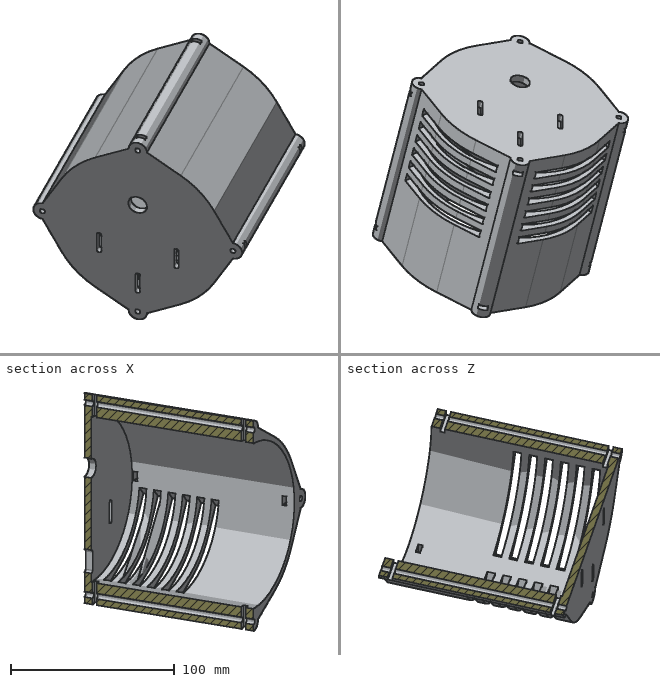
import cadquery as cq
import math

outer_width = 135.0
depth = 117.0
front_y = -depth / 2
back_y = depth / 2

lug_radius = 6.0
lug_offset = outer_width / 2 - lug_radius
lug_angles = (0, 90, 180, 270)
screw_hole_diameter = 3.2

shell_radius = 56.5
cavity_radius = 53.0
front_thickness = 4.9

nut_width = 6.0
nut_thickness = 2.8
nut_inset = 7.0

cable_hole_diameter = 12.0
cable_hole_height = 20.0
slot_length = 14.7
slot_width = 3.0
slot_circle_radius = 25.0
slot_circle_height = -15.0

vent_count = 6
vent_width = 5.0
vent_pitch = 2 * vent_width
vent_length = 65.1
first_vent_inset = 10.0
vent_tilts = (45, 135)


def polar_point(radius, angle):
    """XZ point at a radius and an angle in degrees from the X axis."""
    return radius * math.cos(math.radians(angle)), radius * math.sin(math.radians(angle))


lug_places = [polar_point(lug_offset, angle) for angle in lug_angles]


def front_plane(y):
    """XZ workplane at the given Y; a negative extrusion goes toward the back (+Y)."""
    return cq.Workplane("XZ", origin=(0, y, 0))


def make_body():
    """Solid round housing, drawn out by tangent flats to the flanks of the four lugs."""
    flank_radius = math.hypot(lug_offset, lug_radius)
    flank_angle = math.degrees(math.atan2(lug_radius, lug_offset))
    tangent_angle = flank_angle + math.degrees(math.acos(shell_radius / flank_radius))

    outline = front_plane(front_y).moveTo(*polar_point(flank_radius, -flank_angle))
    for lug_angle in lug_angles:
        next_lug_angle = lug_angle + 90
        outline = outline.lineTo(*polar_point(flank_radius, lug_angle + flank_angle))
        outline = outline.lineTo(*polar_point(shell_radius, lug_angle + tangent_angle))
        outline = outline.threePointArc(
            polar_point(shell_radius, lug_angle + 45),
            polar_point(shell_radius, next_lug_angle - tangent_angle),
        )
        if next_lug_angle < 360:
            outline = outline.lineTo(*polar_point(flank_radius, next_lug_angle - flank_angle))
    body = outline.close().extrude(-depth)
    lugs = front_plane(front_y).pushPoints(lug_places).circle(lug_radius).extrude(-depth)
    return body.union(lugs)


def make_cavity():
    """Round cavity, open at the back."""
    cavity_depth = depth - front_thickness
    return front_plane(front_y + front_thickness).circle(cavity_radius).extrude(-cavity_depth)


def make_screw_holes():
    """Holes along the full length of the lugs."""
    holes = front_plane(front_y).pushPoints(lug_places).circle(screw_hole_diameter / 2)
    return holes.extrude(-depth)


def make_nut_slots():
    """Bars along X and Z that cross the lugs near the front and the back."""
    slots = cq.Workplane()
    for y in (front_y + nut_inset, back_y - nut_inset):
        along_x = cq.Workplane().box(outer_width, nut_thickness, nut_width)
        along_z = cq.Workplane().box(nut_width, nut_thickness, outer_width)
        slots = slots.union(along_x.union(along_z).translate((0, y, 0)))
    return slots


def make_front_openings():
    """Cable hole and three upright mounting slots through the front plate."""
    cable_hole = front_plane(front_y).center(0, cable_hole_height).circle(cable_hole_diameter / 2)
    slot_places = [(-slot_circle_radius, 0), (slot_circle_radius, 0), (0, -slot_circle_radius)]
    slots = front_plane(front_y).center(0, slot_circle_height).pushPoints(slot_places)
    slots = slots.slot2D(slot_length, slot_width, 90)
    return cable_hole.extrude(-front_thickness).union(slots.extrude(-front_thickness))


def make_vents():
    """Rows of slits cut along the lower diagonals, from the cavity out through the shell."""
    vents = cq.Workplane()
    reach = outer_width / 2
    for tilt in vent_tilts:
        for index in range(vent_count):
            y = front_y + first_vent_inset + vent_width / 2 + index * vent_pitch
            slit = cq.Workplane().box(reach, vent_width, vent_length)
            slit = slit.translate((reach, y, 0)).rotate((0, 0, 0), (0, 1, 0), tilt)
            vents = vents.union(slit)
    return vents


result = (
    make_body()
    .cut(make_cavity())
    .cut(make_screw_holes())
    .cut(make_nut_slots())
    .cut(make_front_openings())
    .cut(make_vents())
)